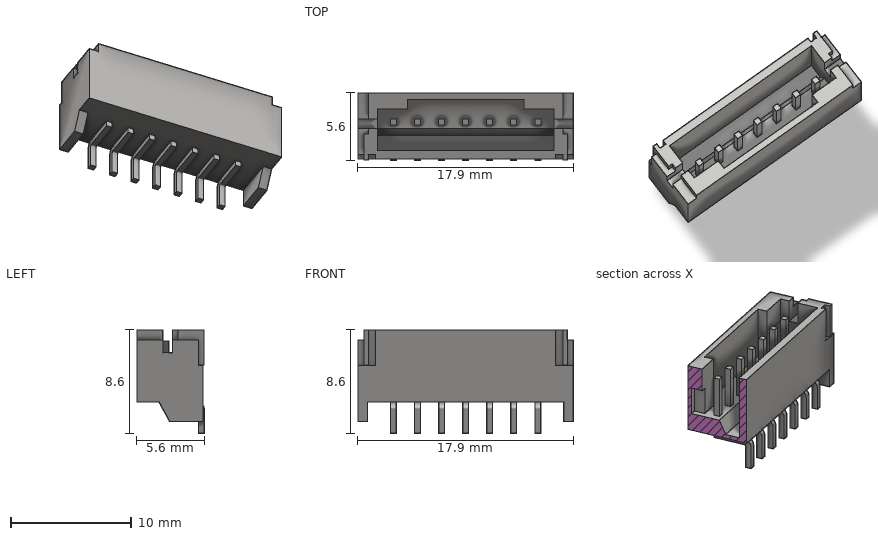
import cadquery as cq

HOUSING_LENGTH = 17.9
HOUSING_DEPTH = 5.5
HOUSING_HEIGHT = 6.0
HALF_LENGTH = HOUSING_LENGTH / 2

LEG_WIDTH = 0.8
LEG_BOTTOM_Z = -7.63
LEG_SLOPE_TOP_Y = -1.83
LEG_SLOPE_BOTTOM_Y = -2.72

SHOULDER_DROP = 0.82
SHOULDER_WIDTH = 0.87
RIB_OUTER_INSET = 0.5
RIB_BACK_Y = -3.4
RIB_FRONT_Y = -5.58
CORNER_NOTCH_WIDTH = 1.46
CORNER_NOTCH_BACK_Y = -5.1
CORNER_NOTCH_DEPTH = 2.97
RIB_DEPTH = 2.92

SLOT_BACK_Y = -2.15
SLOT_FRONT_Y = -2.95
SLOT_DEPTH = 1.89

END_WALL = 1.62
CAVITY_BACK_Y = -1.34
CAVITY_FRONT_Y = -4.8
KEYWAY_BACK_Y = -0.53
KEYWAY_END_INSET = 4.11
BACK_FLOOR_Z = -4.4
FRONT_FLOOR_Z = -5.6
FLOOR_SLOPE_START_Y = SLOT_FRONT_Y
FLOOR_SLOPE_END_Y = -3.55

POCKET_WIDTH = 0.98
POCKET_TOP_Z = -2.05
POCKET_BACK_Y = -0.35

PIN_COUNT = 7
PIN_PITCH = 2.0
PIN_SIZE = 0.5
PIN_TOP_Z = -0.92
PIN_BOTTOM_Z = -8.6
PIN_BACK_Y = SLOT_BACK_Y
PIN_FRONT_Y = -5.6
BEND_INNER_RADIUS = 0.1


def box_between(x_range, y_range, z_range):
    """Axis-aligned box spanning the three ranges, each given in either order."""
    sizes = [abs(b - a) for a, b in (x_range, y_range, z_range)]
    corner = [min(r) for r in (x_range, y_range, z_range)]
    return cq.Workplane("XY").box(*sizes, centered=False).translate(tuple(corner))


def extrude_yz(profile, x_range):
    """Prism of a closed outline of (y, z) points between two X positions."""
    x_start, x_end = x_range
    return cq.Workplane("YZ").workplane(offset=x_start).polyline(profile).close().extrude(x_end - x_start)


def both_ends(shape):
    """The shape together with its mirror image at the other end of the housing."""
    return shape.union(shape.mirror("YZ"))


def make_block():
    block = box_between((-HALF_LENGTH, HALF_LENGTH), (-HOUSING_DEPTH, 0), (-HOUSING_HEIGHT, 0))
    leg_outline = [
        (0, 0),
        (0, -HOUSING_HEIGHT),
        (LEG_SLOPE_TOP_Y, -HOUSING_HEIGHT),
        (LEG_SLOPE_BOTTOM_Y, LEG_BOTTOM_Z),
        (-HOUSING_DEPTH, LEG_BOTTOM_Z),
        (-HOUSING_DEPTH, 0),
    ]
    leg = extrude_yz(leg_outline, (-HALF_LENGTH, -HALF_LENGTH + LEG_WIDTH))
    return block.union(both_ends(leg))


def make_end_cuts():
    """Shoulder steps and corner notches, for both ends."""
    shoulder = box_between(
        (-HALF_LENGTH, -HALF_LENGTH + SHOULDER_WIDTH), (-HOUSING_DEPTH, 0), (-SHOULDER_DROP, 0)
    )
    notch = box_between(
        (-HALF_LENGTH, -HALF_LENGTH + CORNER_NOTCH_WIDTH),
        (-HOUSING_DEPTH, CORNER_NOTCH_BACK_Y),
        (-CORNER_NOTCH_DEPTH, 0),
    )
    return both_ends(shoulder.union(notch))


def make_ribs():
    """Upright corner ribs; their front part stands in the corner notch."""
    rib_x = (-HALF_LENGTH + RIB_OUTER_INSET, -HALF_LENGTH + SHOULDER_WIDTH)
    rib_outline = [
        (RIB_BACK_Y, 0),
        (RIB_BACK_Y, -RIB_DEPTH),
        (RIB_FRONT_Y, -RIB_DEPTH),
        (RIB_FRONT_Y, 0),
    ]
    return both_ends(extrude_yz(rib_outline, rib_x))


def make_cavity():
    cavity_half_length = HALF_LENGTH - END_WALL
    keyway_half_length = HALF_LENGTH - KEYWAY_END_INSET
    cavity_outline = [
        (CAVITY_BACK_Y, 0),
        (CAVITY_BACK_Y, BACK_FLOOR_Z),
        (FLOOR_SLOPE_START_Y, BACK_FLOOR_Z),
        (FLOOR_SLOPE_END_Y, FRONT_FLOOR_Z),
        (CAVITY_FRONT_Y, FRONT_FLOOR_Z),
        (CAVITY_FRONT_Y, 0),
    ]
    cavity = extrude_yz(cavity_outline, (-cavity_half_length, cavity_half_length))
    keyway = box_between(
        (-keyway_half_length, keyway_half_length), (CAVITY_BACK_Y, KEYWAY_BACK_Y), (BACK_FLOOR_Z, 0)
    )
    return cavity.union(keyway)


def make_corner_pockets():
    cavity_end_x = -HALF_LENGTH + END_WALL
    pocket = box_between(
        (cavity_end_x, cavity_end_x + POCKET_WIDTH),
        (CAVITY_BACK_Y, POCKET_BACK_Y),
        (BACK_FLOOR_Z, POCKET_TOP_Z),
    )
    return both_ends(pocket)


def make_slot():
    return box_between((-HALF_LENGTH, HALF_LENGTH), (SLOT_BACK_Y, SLOT_FRONT_Y), (-SLOT_DEPTH, 0))


def make_pin(x_center):
    """Pin rising through the floor, running forward under the housing and bending down."""
    upright_front_y = PIN_BACK_Y - PIN_SIZE
    tail_back_y = PIN_FRONT_Y + PIN_SIZE
    run_top_z = -HOUSING_HEIGHT
    run_bottom_z = run_top_z - PIN_SIZE
    outer_radius = BEND_INNER_RADIUS + PIN_SIZE
    bend_end_z = run_top_z - outer_radius
    bend_start_y = PIN_FRONT_Y + outer_radius
    return (
        cq.Workplane("YZ")
        .workplane(offset=x_center - PIN_SIZE / 2)
        .moveTo(PIN_BACK_Y, PIN_TOP_Z)
        .lineTo(PIN_BACK_Y, run_bottom_z)
        .lineTo(bend_start_y, run_bottom_z)
        .radiusArc((tail_back_y, bend_end_z), -BEND_INNER_RADIUS)
        .lineTo(tail_back_y, PIN_BOTTOM_Z)
        .lineTo(PIN_FRONT_Y, PIN_BOTTOM_Z)
        .lineTo(PIN_FRONT_Y, bend_end_z)
        .radiusArc((bend_start_y, run_top_z), outer_radius)
        .lineTo(upright_front_y, run_top_z)
        .lineTo(upright_front_y, PIN_TOP_Z)
        .close()
        .extrude(PIN_SIZE)
    )


housing = make_block().cut(make_end_cuts()).union(make_ribs())
housing = housing.cut(make_slot()).cut(make_cavity()).cut(make_corner_pockets())

result = housing
for index in range(PIN_COUNT):
    pin_x = (index - (PIN_COUNT - 1) / 2) * PIN_PITCH
    result = result.union(make_pin(pin_x))